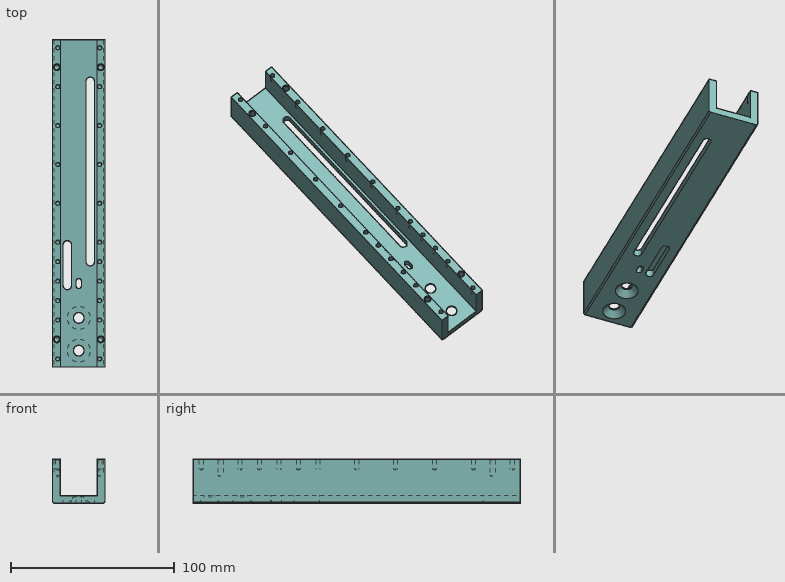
import cadquery as cq
import math

length = 200
width = 32.2
height = 27.0
inner_width = 22.5
floor_thickness = 4.8
edge_chamfer = 1.0

end_margin = 5.0
pitch_count = 8
pitch = (length - 2 * end_margin) / pitch_count
drill_angle = 118
small_hole_offset = 12.8
small_hole_radius = 1.25
small_hole_depth = 6
large_hole_offset = 13.5
large_hole_radius = 1.5
large_hole_mouth_chamfer = 0.5
large_hole_depth = 10

small_hole_steps = [0, 1, 1.5, 2, 2.5, 3, 4, 5, 6, 7, 8]
large_hole_steps = [0.5, pitch_count - 0.5]

long_slot_length = 115.2
long_slot_width = 5.0
long_slot_centre = (7.0, 19.5)
short_slot_length = 29.8
short_slot_width = 5.0
short_slot_centre = (-7.0, -37.8)
small_slot_length = 6
small_slot_width = 3.2
small_slot_centre = (0, -49.0)

floor_hole_diameter = 6.5
floor_sink_diameter = 14
floor_sink_angle = 90
floor_hole_centres = [(0, -70), (0, -90)]


def channel():
    """U-shaped channel, open at the top, with its two long bottom edges chamfered."""
    block = cq.Workplane("XY").box(width, length, height, centered=(True, True, False))
    block = block.faces("<Z").edges("|Y").chamfer(edge_chamfer)
    trough = (
        cq.Workplane("XY")
        .workplane(offset=floor_thickness)
        .box(inner_width, length, height, centered=(True, True, False))
    )
    return block.cut(trough)


def cut_slot(body, slot_length, slot_width, centre):
    """Cut a round-ended slot, running along Y, through the floor."""
    slot = (
        cq.Workplane("XY")
        .center(*centre)
        .slot2D(slot_length, slot_width, angle=90)
        .extrude(floor_thickness)
    )
    return body.cut(slot)


def cut_floor_holes(body):
    """Cut the round holes through the floor, countersunk on its underside."""
    return (
        body.faces("<Z")
        .workplane(origin=(0, 0, 0))
        .pushPoints([(x, -y) for x, y in floor_hole_centres])
        .cskHole(floor_hole_diameter, floor_sink_diameter, floor_sink_angle, floor_thickness)
    )


def drill(radius, depth):
    """Cutter for a blind hole going down from Z = 0, with a conical end."""
    tip_depth = depth + radius / math.tan(math.radians(drill_angle / 2))
    profile = [(0, 0), (radius, 0), (radius, -depth), (0, -tip_depth)]
    return cq.Workplane("XZ").polyline(profile).close().revolve(360, (0, 0, 0), (0, 1, 0))


def mouth_cone(radius, chamfer):
    """Cutter for a 45 degree chamfer around the mouth of a hole at Z = 0."""
    down = cq.Vector(0, 0, -1)
    cone = cq.Solid.makeCone(radius + chamfer, radius, chamfer, dir=down)
    return cq.Workplane(cone)


def cut_rim_holes(body, cutter, steps, offset):
    """Sink the cutter into the tops of both side walls at every step."""
    for step in steps:
        y = end_margin - length / 2 + step * pitch
        for side in (-1, 1):
            body = body.cut(cutter.translate((side * offset, y, height)))
    return body


small_drill = drill(small_hole_radius, small_hole_depth)
large_drill = drill(large_hole_radius, large_hole_depth).union(
    mouth_cone(large_hole_radius, large_hole_mouth_chamfer)
)

result = channel()
result = cut_slot(result, long_slot_length, long_slot_width, long_slot_centre)
result = cut_slot(result, short_slot_length, short_slot_width, short_slot_centre)
result = cut_slot(result, small_slot_length, small_slot_width, small_slot_centre)
result = cut_floor_holes(result)
result = cut_rim_holes(result, small_drill, small_hole_steps, small_hole_offset)
result = cut_rim_holes(result, large_drill, large_hole_steps, large_hole_offset)